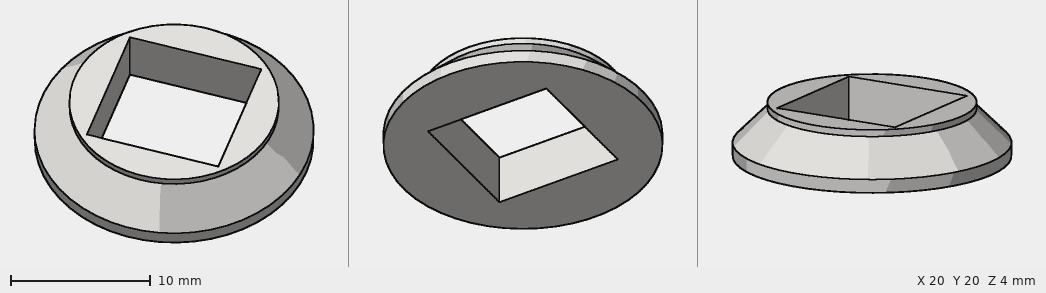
import cadquery as cq

base_diameter = 20.0
top_diameter = 15.0
total_height = 4.0
rim_height = 1.0
collar_height = 0.5
square_hole_side = 9.9

base_radius = base_diameter / 2
top_radius = top_diameter / 2
cone_top = total_height - collar_height

body = (
    cq.Workplane("XZ")
    .moveTo(0, 0)
    .lineTo(base_radius, 0)
    .lineTo(base_radius, rim_height)
    .lineTo(top_radius, cone_top)
    .lineTo(top_radius, total_height)
    .lineTo(0, total_height)
    .close()
    .revolve(360, (0, 0, 0), (0, 1, 0))
)

square_hole = cq.Workplane("XY").rect(square_hole_side, square_hole_side).extrude(total_height)

result = body.cut(square_hole)